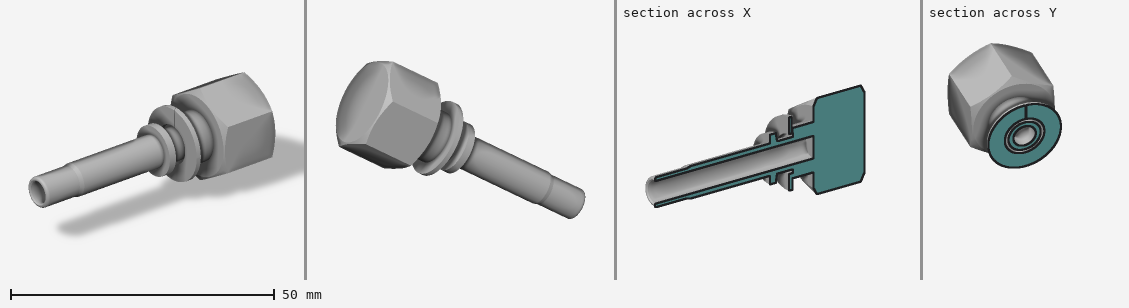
import cadquery as cq
import math

overall_length = 51.0

nut_across_flats = 17.0
nut_length = 12.5
nut_end_face_diameter = 16.5
nut_chamfer_angle = 30.0
nut_front = overall_length - nut_length

collar_diameter = 10.35
washer_diameter = 15.0
washer_hole_diameter = 8.0
washer_thickness = 1.0
washer_back = nut_front - 4.9
washer_front = washer_back - washer_thickness
slit_width = 0.12
slit_front_x = 0.76
slit_angle = 45.0

stem_diameter = 6.7
flange_diameter = 10.2
flange_front = 28.0
flange_rim_length = 1.5
flange_back_angle = 10.0
tip_diameter = 6.2
tip_length = 7.8
tip_taper_length = 0.9
tip_fillet = 0.6

bore_diameter = 4.5
bore_depth = nut_front
bore_chamfer = (tip_diameter - bore_diameter) / 2 - tip_fillet


def disc(diameter, y_start, y_end):
    """Solid cylinder on the Y axis between two Y positions."""
    base = cq.Workplane("XZ", origin=(0, y_start, 0))
    return base.circle(diameter / 2).extrude(y_start - y_end)


def make_nut():
    """Hexagonal prism with vertices up and down and both ends chamfered."""
    corner_radius = nut_across_flats / 2 / math.cos(math.radians(30))
    end_radius = nut_end_face_diameter / 2
    chamfer_length = (corner_radius - end_radius) * math.tan(math.radians(nut_chamfer_angle))

    prism = (
        cq.Workplane("XZ", origin=(0, nut_front, 0))
        .transformed(rotate=(0, 0, 90))
        .polygon(6, 2 * corner_radius)
        .extrude(-nut_length)
    )
    chamfered_envelope = (
        cq.Workplane("XY")
        .moveTo(0, nut_front)
        .lineTo(end_radius, nut_front)
        .lineTo(corner_radius, nut_front + chamfer_length)
        .lineTo(corner_radius, overall_length - chamfer_length)
        .lineTo(end_radius, overall_length)
        .lineTo(0, overall_length)
        .close()
        .revolve(360, (0, 0, 0), (0, 1, 0))
    )
    return prism.intersect(chamfered_envelope)


def make_split_washer():
    """Flat ring cut through above the axis by a narrow slit slanted across its thickness."""
    ring = disc(washer_diameter, washer_front, washer_back)
    ring = ring.cut(disc(washer_hole_diameter, washer_front, washer_back))

    slant = washer_thickness / math.tan(math.radians(slit_angle))
    slit = (
        cq.Workplane("XY")
        .moveTo(slit_front_x - slit_width / 2, washer_front)
        .lineTo(slit_front_x + slit_width / 2, washer_front)
        .lineTo(slit_front_x + slit_width / 2 - slant, washer_back)
        .lineTo(slit_front_x - slit_width / 2 - slant, washer_back)
        .close()
        .extrude(washer_diameter)
    )
    return ring.cut(slit)


def make_stem():
    """Stem from the rounded tip to the nut, with a flange that has a shallow conical back."""
    stem_radius = stem_diameter / 2
    tip_radius = tip_diameter / 2
    flange_radius = flange_diameter / 2
    rim_back = flange_front + flange_rim_length
    cone_length = (flange_radius - stem_radius) * math.tan(math.radians(flange_back_angle))

    outline = (
        cq.Workplane("XY")
        .moveTo(0, 0)
        .lineTo(tip_radius - tip_fillet, 0)
        .radiusArc((tip_radius, tip_fillet), -tip_fillet)
        .lineTo(tip_radius, tip_length)
        .lineTo(stem_radius, tip_length + tip_taper_length)
        .lineTo(stem_radius, flange_front)
        .lineTo(flange_radius, flange_front)
        .lineTo(flange_radius, rim_back)
        .lineTo(stem_radius, rim_back + cone_length)
        .lineTo(stem_radius, nut_front)
        .lineTo(0, nut_front)
        .close()
    )
    return outline.revolve(360, (0, 0, 0), (0, 1, 0))


def make_bore():
    """Blind bore with a 45 degree chamfer at its mouth."""
    bore_radius = bore_diameter / 2
    outline = (
        cq.Workplane("XY")
        .moveTo(0, 0)
        .lineTo(bore_radius + bore_chamfer, 0)
        .lineTo(bore_radius, bore_chamfer)
        .lineTo(bore_radius, bore_depth)
        .lineTo(0, bore_depth)
        .close()
    )
    return outline.revolve(360, (0, 0, 0), (0, 1, 0))


collar = disc(collar_diameter, washer_back, nut_front)

result = make_nut().union(collar).union(make_split_washer()).union(make_stem()).cut(make_bore())